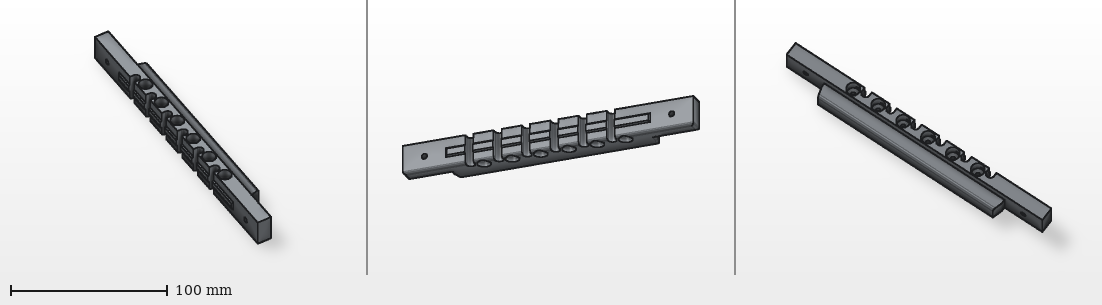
import cadquery as cq

bar_length = 200
bar_depth = 10
bar_height = 20
edge_radius = 2

tongue_length = 140.8
tongue_depth = 10
tongue_height = 13.5
tongue_root_depth = 3.0
tongue_end_taper = 2

ridge_length = 140.5
ridge_height = 6.5
ridge_projection = 1.0
ridge_side_angle = 45

station_count = 6
station_row_length = 97.5
first_groove_x = -54.2
hole_offset = 8.2
groove_width = 5.5
groove_depth = 5.5
socket_diameter = 9.0
socket_depth = 8
through_hole_diameter = 3.0

mounting_hole_diameter = 3.5
mounting_hole_inset = 15.0

station_pitch = station_row_length / (station_count - 1)
groove_xs = [first_groove_x + i * station_pitch for i in range(station_count)]
hole_centres = [(x + hole_offset, bar_depth / 2) for x in groove_xs]


def make_bar():
    return cq.Workplane("XY").box(bar_length, bar_depth, bar_height, centered=(True, False, False))


def make_tongue():
    root_half = tongue_length / 2
    tip_half = root_half - tongue_end_taper
    root_end_y = bar_depth + tongue_root_depth
    rear_y = bar_depth + tongue_depth
    outline = [
        (-root_half, bar_depth),
        (root_half, bar_depth),
        (root_half, root_end_y),
        (tip_half, rear_y),
        (-tip_half, rear_y),
        (-root_half, root_end_y),
    ]
    tongue = cq.Workplane("XY").polyline(outline).close().extrude(tongue_height)
    return tongue.faces(">Y").edges(">Z").fillet(edge_radius)


def make_ridge():
    """Ridge whose four sides slope back to the bar over its whole projection."""
    return (
        cq.Workplane("XZ", origin=(0, 0, bar_height / 2))
        .rect(ridge_length, ridge_height)
        .extrude(ridge_projection, taper=ridge_side_angle)
    )


def make_groove(x):
    """Round-bottomed vertical slot that also cuts through the ridge."""
    radius = groove_width / 2
    arc_centre_y = groove_depth - radius
    return (
        cq.Workplane("XY")
        .moveTo(x - radius, -ridge_projection)
        .lineTo(x - radius, arc_centre_y)
        .threePointArc((x, groove_depth), (x + radius, arc_centre_y))
        .lineTo(x + radius, -ridge_projection)
        .close()
        .extrude(bar_height)
    )


def make_vertical_cylinders(diameter, bottom_z, height):
    return (
        cq.Workplane("XY", origin=(0, 0, bottom_z))
        .pushPoints(hole_centres)
        .circle(diameter / 2)
        .extrude(height)
    )


def make_mounting_holes():
    hole_x = bar_length / 2 - mounting_hole_inset
    return (
        cq.Workplane("XZ", origin=(0, 0, bar_height / 2))
        .pushPoints([(-hole_x, 0), (hole_x, 0)])
        .circle(mounting_hole_diameter / 2)
        .extrude(-bar_depth)
    )


result = make_bar().union(make_tongue())
result = result.faces("<Z").edges().fillet(edge_radius)
result = result.union(make_ridge())

for groove_x in groove_xs:
    result = result.cut(make_groove(groove_x))

result = result.cut(make_vertical_cylinders(through_hole_diameter, 0, bar_height))
for socket_bottom_z in (0, bar_height - socket_depth):
    result = result.cut(make_vertical_cylinders(socket_diameter, socket_bottom_z, socket_depth))

result = result.cut(make_mounting_holes())